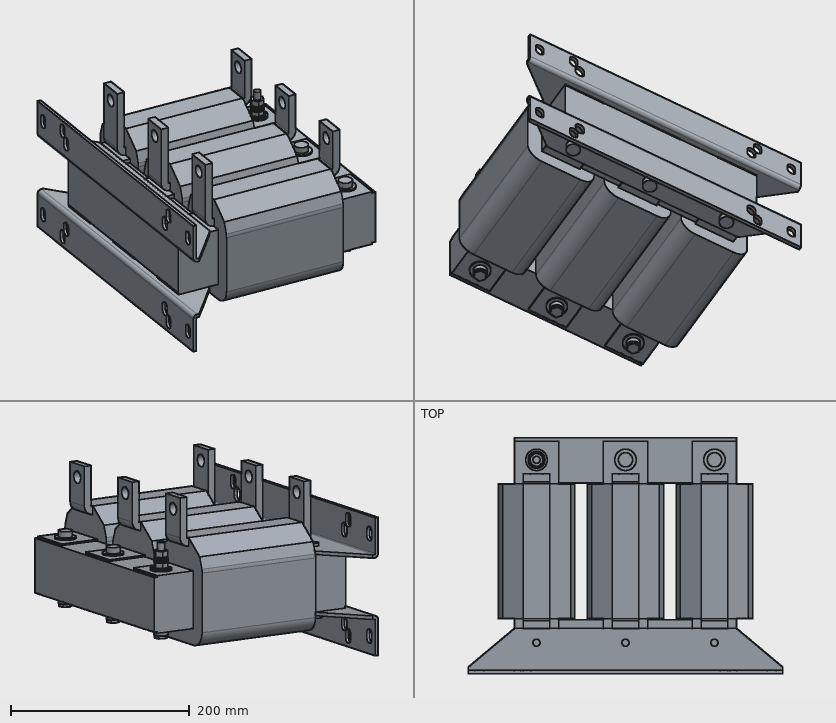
import cadquery as cq
import math

LIMB_PITCH = 99.5
LIMB_WIDTH = 49.5
LIMB_CENTRES = (-LIMB_PITCH, 0, LIMB_PITCH)
CORE_LENGTH = 2 * LIMB_PITCH + LIMB_WIDTH
CORE_DEPTH = 254
CORE_HEIGHT = 62.5
YOKE_DEPTH = LIMB_WIDTH
YOKE_CENTRE_Y = (CORE_DEPTH - YOKE_DEPTH) / 2
SPACER_THICKNESS = 1.2
WINDOW_WIDTH = LIMB_PITCH - LIMB_WIDTH
WINDOW_DEPTH = CORE_DEPTH - 2 * (YOKE_DEPTH + SPACER_THICKNESS)

STRIP_LEVEL = 33
STRIP_REAR_INSET = 4.2
STRIP_FRONT_INSET = 0.5
STRIP_DEPTH = CORE_DEPTH - STRIP_REAR_INSET - STRIP_FRONT_INSET
STRIP_CENTRE_Y = (STRIP_FRONT_INSET - STRIP_REAR_INSET) / 2
PAD_THICKNESS = 2.6

COIL_WIDTH = 86
COIL_DEPTH = 150.5
COIL_BOTTOM = -52.2
COIL_TOP = 69.3
COIL_RADIUS = 18
COIL_SIDE_TOP = 34
SHOULDER_HALF_WIDTH = 38
SHOULDER_LEVEL = 51.4
COIL_ARC_ANGLE = 14

BAR_WIDTH = 30
BAR_THICKNESS = 9
BAR_TOP = 115.8
BAR_INNER_Y = 77.5
BAR_BEND_INNER = 2
BAR_BEND_OUTER = BAR_BEND_INNER + BAR_THICKNESS
FRONT_BAR_BOTTOM = 36.3
REAR_BAR_COVER = 0.9
REAR_BAR_BOTTOM = COIL_TOP - REAR_BAR_COVER - BAR_THICKNESS
BAR_EMBED = 10
BAR_HOLE_DIAMETER = 14
BAR_HOLE_LEVEL = BAR_TOP - BAR_WIDTH / 2

BRACKET_LENGTH = 352
BRACKET_FRONT_Y = -137.05
BRACKET_BACK_Y = -86.2
BRACKET_TIP = 79
BRACKET_THICKNESS = 4
BRACKET_LEVEL = STRIP_LEVEL + BRACKET_THICKNESS
BRACKET_BEND_OUTER = 5
BRACKET_BEND_INNER = BRACKET_BEND_OUTER - BRACKET_THICKNESS
BRACKET_TAPER_END_Y = BRACKET_FRONT_Y + 7.5
BRACKET_SLOTS = (
    (163.5, 58.7, 16, 10),
    (119.5, 66.5, 16, 10),
    (111.5, 53.7, 16, 11),
)

BOLT_DIAMETER = 8
HEX_HEAD_CORNERS = 15
NUT_CORNERS = 16
BRACKET_BOLT_TOP = 40.2
HEAD_BOTTOM = -44.8
HEAD_DIAMETER = 16
WASHER_DIAMETER = 24
WASHER_THICKNESS = 1.8
COLLAR_HEIGHT = 7
LOWER_COLLAR_HEIGHT = 6.6
LOWER_HEX_ANGLE = 9
STUD_TOP = 64.8
LOWER_RING_DIAMETER = 19
LOWER_RING_THICKNESS = 1.2
NUT_ANGLE = 41
NUT_LOWER_TOP = 42
PACK_DIAMETERS = (16, 15.5, 16, 15.5)
PACK_WASHER_THICKNESS = 1.2
PACK_TOP = NUT_LOWER_TOP + len(PACK_DIAMETERS) * PACK_WASHER_THICKNESS
SPRING_RING_TOP = 48.4
SPRING_RING_DIAMETER = 14.5
NUT_UPPER_TOP = 55.2


def box(length, depth, height, x=0, y=0, z=0):
    return cq.Workplane("XY").box(length, depth, height).translate((x, y, z))


def cylinder(diameter, x, y, bottom, top):
    return cq.Workplane("XY", origin=(x, y, bottom)).circle(diameter / 2).extrude(top - bottom)


def hexagon(corners, x, y, bottom, top, angle):
    prism = cq.Workplane("XY").polygon(6, corners).extrude(top - bottom)
    return prism.rotate((0, 0, 0), (0, 0, 1), angle).translate((x, y, bottom))


def core():
    """Core block with a window between neighbouring limbs, and a strip above and below each limb."""
    body = box(CORE_LENGTH, CORE_DEPTH, CORE_HEIGHT)
    for side in (-1, 1):
        body = body.cut(box(WINDOW_WIDTH, WINDOW_DEPTH, CORE_HEIGHT, x=side * LIMB_PITCH / 2))
    for x in LIMB_CENTRES:
        body = body.union(box(LIMB_WIDTH, STRIP_DEPTH, 2 * STRIP_LEVEL, x, STRIP_CENTRE_Y))
    return body


def front_pad(x):
    back_y = -COIL_DEPTH / 2
    return box(
        LIMB_WIDTH, back_y - BRACKET_BACK_Y, PAD_THICKNESS,
        x, (back_y + BRACKET_BACK_Y) / 2, STRIP_LEVEL + PAD_THICKNESS / 2,
    )


def coil(x):
    half = COIL_WIDTH / 2
    arc_centre = half - COIL_RADIUS

    def on_arc(degrees):
        angle = math.radians(degrees)
        return (arc_centre + COIL_RADIUS * math.cos(angle),
                COIL_SIDE_TOP + COIL_RADIUS * math.sin(angle))

    arc_middle = on_arc(COIL_ARC_ANGLE / 2)
    arc_end = on_arc(COIL_ARC_ANGLE)
    profile = (
        cq.Workplane("XZ", origin=(x, COIL_DEPTH / 2, 0))
        .moveTo(0, COIL_BOTTOM)
        .lineTo(arc_centre, COIL_BOTTOM)
        .radiusArc((half, COIL_BOTTOM + COIL_RADIUS), -COIL_RADIUS)
        .lineTo(half, COIL_SIDE_TOP)
        .threePointArc(arc_middle, arc_end)
        .lineTo(SHOULDER_HALF_WIDTH, SHOULDER_LEVEL)
        .lineTo(BAR_WIDTH / 2, COIL_TOP)
        .lineTo(0, COIL_TOP)
        .mirrorY()
    )
    return profile.extrude(COIL_DEPTH)


def terminal_bar(x, side, bottom):
    """L-shaped bar leaving the coil end on the given side (-1 front, 1 rear) and turning up."""
    inner = side * BAR_INNER_Y
    outer = side * (BAR_INNER_Y + BAR_THICKNESS)
    root = side * (COIL_DEPTH / 2 - BAR_EMBED)
    bend_y = side * (BAR_INNER_Y - BAR_BEND_INNER)
    bend_z = bottom + BAR_BEND_OUTER
    flat_top = bottom + BAR_THICKNESS
    bar = (
        cq.Workplane("YZ", origin=(x - BAR_WIDTH / 2, 0, 0))
        .moveTo(root, bottom)
        .lineTo(bend_y, bottom)
        .radiusArc((outer, bend_z), -side * BAR_BEND_OUTER)
        .lineTo(outer, BAR_TOP)
        .lineTo(inner, BAR_TOP)
        .lineTo(inner, bend_z)
        .radiusArc((bend_y, flat_top), side * BAR_BEND_INNER)
        .lineTo(root, flat_top)
        .close()
        .extrude(BAR_WIDTH)
    )
    hole = (
        cq.Workplane("XZ", origin=(x, max(inner, outer), BAR_HOLE_LEVEL))
        .circle(BAR_HOLE_DIAMETER / 2)
        .extrude(BAR_THICKNESS)
    )
    return bar.cut(hole)


def upper_bracket():
    flange_inner_y = BRACKET_FRONT_Y + BRACKET_THICKNESS
    bend_y = BRACKET_FRONT_Y + BRACKET_BEND_OUTER
    bend_z = STRIP_LEVEL + BRACKET_BEND_OUTER
    section = (
        cq.Workplane("YZ", origin=(-BRACKET_LENGTH / 2, 0, 0))
        .moveTo(BRACKET_BACK_Y, STRIP_LEVEL)
        .lineTo(bend_y, STRIP_LEVEL)
        .radiusArc((BRACKET_FRONT_Y, bend_z), BRACKET_BEND_OUTER)
        .lineTo(BRACKET_FRONT_Y, BRACKET_TIP)
        .lineTo(flange_inner_y, BRACKET_TIP)
        .lineTo(flange_inner_y, bend_z)
        .radiusArc((bend_y, BRACKET_LEVEL), -BRACKET_BEND_INNER)
        .lineTo(BRACKET_BACK_Y, BRACKET_LEVEL)
        .close()
        .extrude(BRACKET_LENGTH)
    )
    half_front = BRACKET_LENGTH / 2
    half_back = CORE_LENGTH / 2
    outline = (
        cq.Workplane("XY")
        .polyline([
            (-half_front, BRACKET_FRONT_Y),
            (half_front, BRACKET_FRONT_Y),
            (half_front, BRACKET_TAPER_END_Y),
            (half_back, BRACKET_BACK_Y),
            (-half_back, BRACKET_BACK_Y),
            (-half_front, BRACKET_TAPER_END_Y),
        ])
        .close()
        .extrude(BRACKET_TIP)
    )
    bracket = section.intersect(outline)
    for offset, height, length, width in BRACKET_SLOTS:
        slots = (
            cq.Workplane("XZ", origin=(0, flange_inner_y, 0))
            .pushPoints([(-offset, height), (offset, height)])
            .slot2D(length, width, 90)
            .extrude(BRACKET_THICKNESS)
        )
        bracket = bracket.cut(slots)
    return bracket


def bracket_bolt(x):
    shank = cylinder(BOLT_DIAMETER, x, -YOKE_CENTRE_Y, STRIP_LEVEL, BRACKET_BOLT_TOP)
    head = cylinder(HEAD_DIAMETER, x, -YOKE_CENTRE_Y, HEAD_BOTTOM, -STRIP_LEVEL)
    return shank.union(head)


def rear_bolt_underside(x):
    y = YOKE_CENTRE_Y
    washer_bottom = -STRIP_LEVEL - WASHER_THICKNESS
    collar_bottom = washer_bottom - LOWER_COLLAR_HEIGHT
    stack = cylinder(WASHER_DIAMETER, x, y, washer_bottom, -STRIP_LEVEL)
    stack = stack.union(cylinder(HEAD_DIAMETER, x, y, collar_bottom, washer_bottom))
    return stack.union(hexagon(HEX_HEAD_CORNERS, x, y, HEAD_BOTTOM, collar_bottom, LOWER_HEX_ANGLE))


def rear_bolt_head(x):
    y = YOKE_CENTRE_Y
    washer_top = STRIP_LEVEL + WASHER_THICKNESS
    washer = cylinder(WASHER_DIAMETER, x, y, STRIP_LEVEL, washer_top)
    return washer.union(cylinder(HEAD_DIAMETER, x, y, washer_top, washer_top + COLLAR_HEIGHT))


def earth_stud(x):
    """Long stud with two nuts clamping a pack of washers."""
    y = YOKE_CENTRE_Y
    washer_top = STRIP_LEVEL + WASHER_THICKNESS
    ring_top = washer_top + LOWER_RING_THICKNESS
    stud = cylinder(BOLT_DIAMETER, x, y, STRIP_LEVEL, STUD_TOP)
    stud = stud.union(cylinder(WASHER_DIAMETER, x, y, STRIP_LEVEL, washer_top))
    stud = stud.union(cylinder(LOWER_RING_DIAMETER, x, y, washer_top, ring_top))
    stud = stud.union(hexagon(NUT_CORNERS, x, y, ring_top, NUT_LOWER_TOP, NUT_ANGLE))
    for index, diameter in enumerate(PACK_DIAMETERS):
        bottom = NUT_LOWER_TOP + index * PACK_WASHER_THICKNESS
        stud = stud.union(cylinder(diameter, x, y, bottom, bottom + PACK_WASHER_THICKNESS))
    stud = stud.union(cylinder(SPRING_RING_DIAMETER, x, y, PACK_TOP, SPRING_RING_TOP))
    return stud.union(hexagon(NUT_CORNERS, x, y, SPRING_RING_TOP, NUT_UPPER_TOP, NUT_ANGLE))


result = core()
for limb_x in LIMB_CENTRES:
    result = result.union(coil(limb_x))
    result = result.union(front_pad(limb_x))
    result = result.union(terminal_bar(limb_x, -1, FRONT_BAR_BOTTOM))
    result = result.union(terminal_bar(limb_x, 1, REAR_BAR_BOTTOM))
bracket_above = upper_bracket()
result = result.union(bracket_above).union(bracket_above.mirror("XY"))
for limb_x in LIMB_CENTRES:
    result = result.union(bracket_bolt(limb_x))
    result = result.union(rear_bolt_underside(limb_x))
result = result.union(earth_stud(LIMB_CENTRES[0]))
for limb_x in LIMB_CENTRES[1:]:
    result = result.union(rear_bolt_head(limb_x))